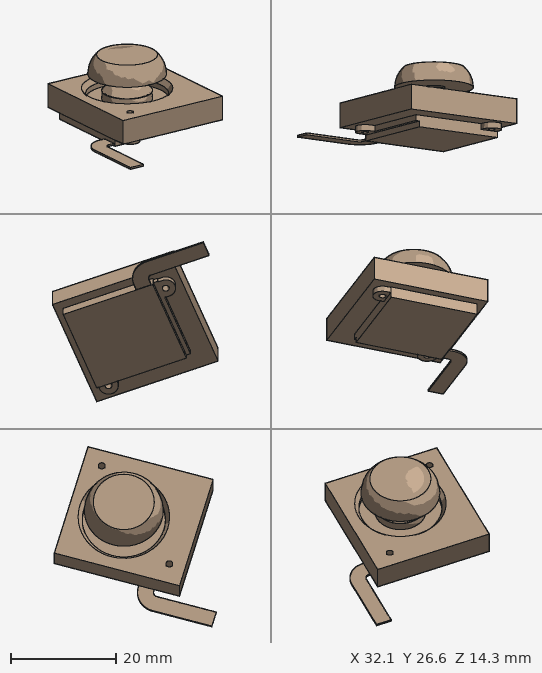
import cadquery as cq
import math

plate_width = 24.75
plate_depth = 23.13
plate_height = 4.8
plate_bottom = 2.25
plate_top = plate_bottom + plate_height

block_left = 1.6
block_right = 19.85
block_front = 1.55
block_back = 19.05

knob_x = 10.6
knob_y = 10.92
recess_top_diameter = 17.35
well_diameter = 15.78
well_top = 5.95
well_floor = 4.9

hole_diameter = 1.3
boss_diameter = 3.7
boss_height = 1.12
boss_bottom = plate_bottom - boss_height
boss_straight_length = 0.93
ledge_setback = 0.32
rear_hole_x = 3.63
rear_hole_y = plate_depth - 3.12
front_hole_x = 21.62
front_hole_y = 3.85

cable_end = 32.13
cable_width = 3.05
cable_thickness = 0.4
cable_bottom = 0.13
cable_left = 16.45
cable_front = -3.5
cable_outer_radius = 4.0
cable_inner_radius = cable_outer_radius - cable_width
bend_x = cable_left + cable_outer_radius
bend_y = cable_front + cable_outer_radius

base_radius = 4.85
dome_rim_radius = 4.85
dome_rim_z = 6.55
neck_radius = 3.7 / 2
neck_bottom = 9.03
neck_top = 9.7
flare_radius = 2.12
dome_sphere_radius = 5.65
cap_bottom = 9.93
cap_radius = 7.5
cap_lip = 0.13
cap_middle_radius = 7.05
cap_middle_z = 12.05
cap_top_radius = 5.9
cap_top = 13.78
cap_chamfer = 0.13
crown_radius = 4.55
crown_top = 14.3


def box(left, right, front, back, bottom, top):
    size = (right - left, back - front, top - bottom)
    return cq.Workplane("XY").box(*size, centered=False).translate((left, front, bottom))


def cylinder(x, y, diameter, bottom, top):
    disc = cq.Workplane("XY", origin=(x, y, bottom)).circle(diameter / 2)
    return disc.extrude(top - bottom)


def make_recess():
    """Conical mouth above a straight flat-floored well."""
    profile = (
        cq.Workplane("XZ")
        .moveTo(0, well_floor)
        .lineTo(well_diameter / 2, well_floor)
        .lineTo(well_diameter / 2, well_top)
        .lineTo(recess_top_diameter / 2, plate_top)
        .lineTo(0, plate_top)
        .close()
    )
    return profile.revolve(360, (0, 0), (0, 1)).translate((knob_x, knob_y, 0))


def make_bosses():
    """Rear boss runs straight into the block, front boss into a ledge beside it."""
    radius = boss_diameter / 2
    ledge_right = front_hole_x - boss_straight_length
    rear_web = box(rear_hole_x - radius, rear_hole_x + radius, block_back, rear_hole_y,
                   boss_bottom, plate_bottom)
    front_web = box(ledge_right, front_hole_x, front_hole_y - radius, front_hole_y + radius,
                    boss_bottom, plate_bottom)
    ledge = box(block_right, ledge_right, block_front + ledge_setback, block_back,
                boss_bottom, plate_bottom)
    bosses = rear_web.union(front_web).union(ledge)
    for x, y in ((rear_hole_x, rear_hole_y), (front_hole_x, front_hole_y)):
        bosses = bosses.union(cylinder(x, y, boss_diameter, boss_bottom, plate_bottom))
    return bosses


def make_cable():
    diagonal = math.sqrt(0.5)
    outer_middle = (bend_x - cable_outer_radius * diagonal, bend_y - cable_outer_radius * diagonal)
    inner_middle = (bend_x - cable_inner_radius * diagonal, bend_y - cable_inner_radius * diagonal)
    outline = (
        cq.Workplane("XY", origin=(0, 0, cable_bottom))
        .moveTo(cable_left, block_front)
        .lineTo(cable_left, bend_y)
        .threePointArc(outer_middle, (bend_x, cable_front))
        .lineTo(cable_end, cable_front)
        .lineTo(cable_end, cable_front + cable_width)
        .lineTo(bend_x, cable_front + cable_width)
        .threePointArc(inner_middle, (cable_left + cable_width, bend_y))
        .lineTo(cable_left + cable_width, block_front)
        .close()
    )
    return outline.extrude(cable_thickness)


def make_housing():
    plate = box(0, plate_width, 0, plate_depth, plate_bottom, plate_top)
    block = box(block_left, block_right, block_front, block_back, 0, plate_bottom)
    body = plate.union(block).union(make_bosses()).union(make_cable())
    body = body.cut(make_recess())
    for x, y in ((rear_hole_x, rear_hole_y), (front_hole_x, front_hole_y)):
        body = body.cut(cylinder(x, y, hole_diameter, 0, plate_top))
    return body


def make_knob():
    """Half-ball base under an overhanging dome, waisted neck and rounded cap with a shallow crown."""
    base_top_radius = math.sqrt(base_radius**2 - (dome_rim_z - well_floor)**2)
    crown_height = crown_top - cap_top
    crown_sphere_radius = (crown_radius**2 + crown_height**2) / (2 * crown_height)
    profile = (
        cq.Workplane("XZ")
        .moveTo(0, well_floor)
        .lineTo(base_radius, well_floor)
        .radiusArc((base_top_radius, dome_rim_z), -base_radius)
        .lineTo(dome_rim_radius, dome_rim_z)
        .radiusArc((neck_radius, neck_bottom), -dome_sphere_radius)
        .lineTo(neck_radius, neck_top)
        .lineTo(flare_radius, cap_bottom)
        .lineTo(cap_radius, cap_bottom)
        .lineTo(cap_radius, cap_bottom + cap_lip)
        .threePointArc((cap_middle_radius, cap_middle_z), (cap_top_radius, cap_top - cap_chamfer))
        .lineTo(cap_top_radius - cap_chamfer, cap_top)
        .lineTo(crown_radius, cap_top)
        .radiusArc((0, crown_top), -crown_sphere_radius)
        .close()
    )
    return profile.revolve(360, (0, 0), (0, 1)).translate((knob_x, knob_y, 0))


housing = make_housing()
knob = make_knob()
result = cq.Compound.makeCompound([housing.val(), knob.val()])